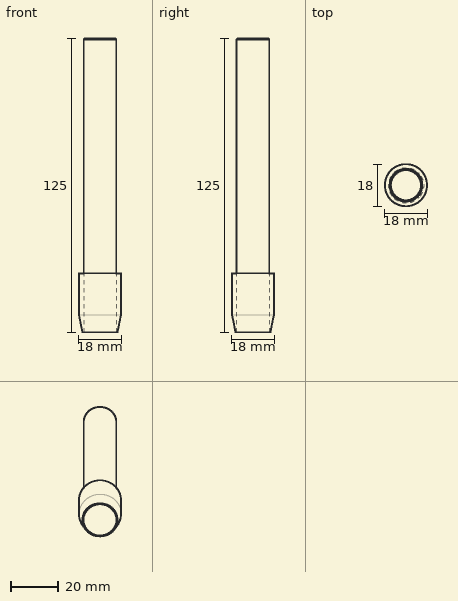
import cadquery as cq

total_height = 125.0
pin_diameter = 14.0
pin_chamfer = 0.6

sleeve_diameter = 18.0
sleeve_height = 25.0
taper_height = 7.5
foot_diameter = 15.0


def make_pin():
    """Full-height round pin, standing on the base plane."""
    rod = cq.Workplane("XY").circle(pin_diameter / 2).extrude(total_height)
    return rod.faces(">Z").chamfer(pin_chamfer)


def make_sleeve():
    """Revolved half section of the collar, with the bore that fits the pin."""
    bore_radius = pin_diameter / 2
    outer_radius = sleeve_diameter / 2
    half_section = [
        (bore_radius, 0),
        (foot_diameter / 2, 0),
        (outer_radius, taper_height),
        (outer_radius, sleeve_height),
        (bore_radius, sleeve_height),
    ]
    return cq.Workplane("XZ").polyline(half_section).close().revolve(360, (0, 0, 0), (0, 1, 0))


pin = make_pin()
sleeve = make_sleeve()

result = cq.Compound.makeCompound([pin.val(), sleeve.val()])